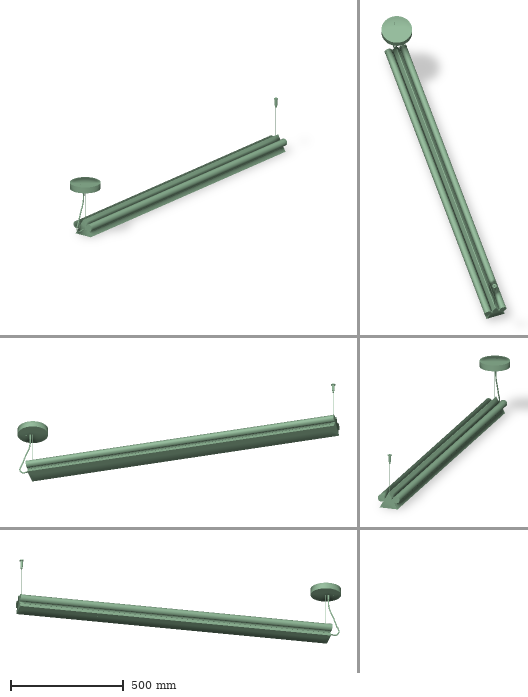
import cadquery as cq

OVERALL_LENGTH = 1465.0
OVERALL_HEIGHT = 246.0
BACK_END = OVERALL_LENGTH / 2
FRONT_END = -OVERALL_LENGTH / 2

CANOPY_DIAMETER = 136.0
CANOPY_HEIGHT = 28.0
CANOPY_Y = FRONT_END + CANOPY_DIAMETER / 2
CANOPY_BOTTOM = OVERALL_HEIGHT - CANOPY_HEIGHT
SLOT_LENGTH = 12.0
SLOT_WIDTH = 1.0
SLOT_OFFSET = 31.0

WIRE_INSET = 15.0
PROFILE_FRONT = CANOPY_Y - WIRE_INSET
PROFILE_LENGTH = BACK_END - PROFILE_FRONT
PROFILE_MIDDLE = (BACK_END + PROFILE_FRONT) / 2
BASE_HALF_WIDTH = 42.0
RIDGE_HALF_WIDTH = 1.0
PROFILE_HEIGHT = 72.0
SIDE_GROOVE_Z = 18.0
SIDE_GROOVE_SIZE = 1.0

STRIP_WIDTH = 16.0
STRIP_HEIGHT = 6.0

TUBE_DIAMETER = 31.0
TUBE_X = 35.0
TUBE_Z = 44.0
FITTING_DIAMETER = 32.0
FITTING_DEPTH = 6.0
FITTING_OVERHANG = 5.0
SEAT_X = 15.0
SEAT_Z = 31.0

WIRE_DIAMETER = 2.2
BACK_WIRE_Y = BACK_END - WIRE_INSET
ANCHOR_FLANGE_DIAMETER = 19.0
ANCHOR_FLANGE_HEIGHT = 3.0
ANCHOR_BODY_DIAMETER = 12.0
ANCHOR_BODY_BOTTOM = 214.0
ANCHOR_TIP_DIAMETER = 8.0
ANCHOR_BOTTOM = 204.0
ANCHOR_HOLE_DIAMETER = 7.0
ANCHOR_HOLE_DEPTH = 15.0

GRIP_DIAMETER = 9.0
GRIP_LENGTH = 22.0
GRIP_OFFSET = 12.0
GRIP_Y = CANOPY_Y - GRIP_OFFSET
GRIP_BOTTOM = CANOPY_BOTTOM - GRIP_LENGTH
CABLE_DIAMETER = 6.0
CABLE_Z = 26.0
CABLE_BENDS = [(-680.0, 155.0), (-700.0, 105.0), (-716.0, 65.0), (-724.0, 41.0), (-713.0, CABLE_Z)]


def vertical_cylinder(diameter, y, bottom, top):
    return (
        cq.Workplane("XY", origin=(0, y, bottom))
        .circle(diameter / 2)
        .extrude(top - bottom)
    )


def long_bar(width, height, x, z):
    """Rectangular bar as long as the profile, centred at (x, z)."""
    return cq.Workplane("XY").box(width, PROFILE_LENGTH, height).translate((x, PROFILE_MIDDLE, z))


def flank_x(z):
    """Half width of the tapered profile at height z."""
    return BASE_HALF_WIDTH - (BASE_HALF_WIDTH - RIDGE_HALF_WIDTH) * z / PROFILE_HEIGHT


def make_strip():
    return long_bar(STRIP_WIDTH, STRIP_HEIGHT, 0, STRIP_HEIGHT / 2)


def make_profile():
    """Tapered prism with side grooves, a step for each tube and a strip channel."""
    outline = [
        (-BASE_HALF_WIDTH, 0),
        (BASE_HALF_WIDTH, 0),
        (RIDGE_HALF_WIDTH, PROFILE_HEIGHT),
        (-RIDGE_HALF_WIDTH, PROFILE_HEIGHT),
    ]
    body = (
        cq.Workplane("XZ", origin=(0, BACK_END, 0))
        .polyline(outline)
        .close()
        .extrude(PROFILE_LENGTH)
    )
    step = PROFILE_HEIGHT - SEAT_Z
    for side in (-1, 1):
        body = body.cut(long_bar(step, step, side * (SEAT_X + step / 2), SEAT_Z + step / 2))
        groove_x = side * flank_x(SIDE_GROOVE_Z)
        body = body.cut(long_bar(2 * SIDE_GROOVE_SIZE, SIDE_GROOVE_SIZE, groove_x, SIDE_GROOVE_Z))
    return body.cut(make_strip())


def make_fitting(side, back, length):
    """Round disc whose inner lower quarter is squared off to sit in the profile step."""
    plane = cq.Workplane("XZ", origin=(side * TUBE_X, back, TUBE_Z))
    disc = plane.circle(FITTING_DIAMETER / 2).extrude(length)
    corner_x = -side * (TUBE_X - SEAT_X)
    corner_z = SEAT_Z - TUBE_Z
    corner = (
        plane.center(corner_x / 2, corner_z / 2)
        .rect(abs(corner_x), abs(corner_z))
        .extrude(length)
    )
    return disc.union(corner)


def make_tube(side):
    """Round tube with a fitting on each end; the front fitting overhangs the profile."""
    tube = (
        cq.Workplane("XZ", origin=(side * TUBE_X, BACK_END, TUBE_Z))
        .circle(TUBE_DIAMETER / 2)
        .extrude(PROFILE_LENGTH)
    )
    back_fitting = make_fitting(side, BACK_END, FITTING_DEPTH)
    front_fitting = make_fitting(side, PROFILE_FRONT + FITTING_DEPTH, FITTING_DEPTH + FITTING_OVERHANG)
    return tube.union(back_fitting).union(front_fitting)


def make_canopy():
    """Flat round canopy with a narrow slot through it."""
    slot = (
        cq.Workplane("XY", origin=(0, CANOPY_Y - SLOT_OFFSET, CANOPY_BOTTOM))
        .rect(SLOT_WIDTH, SLOT_LENGTH)
        .extrude(CANOPY_HEIGHT)
    )
    return vertical_cylinder(CANOPY_DIAMETER, CANOPY_Y, CANOPY_BOTTOM, OVERALL_HEIGHT).cut(slot)


def make_anchor():
    """Stepped ceiling anchor that carries the back wire, with a blind hole in its top."""
    flange_bottom = OVERALL_HEIGHT - ANCHOR_FLANGE_HEIGHT
    flange = vertical_cylinder(ANCHOR_FLANGE_DIAMETER, BACK_WIRE_Y, flange_bottom, OVERALL_HEIGHT)
    body = vertical_cylinder(ANCHOR_BODY_DIAMETER, BACK_WIRE_Y, ANCHOR_BODY_BOTTOM, flange_bottom)
    tip = vertical_cylinder(ANCHOR_TIP_DIAMETER, BACK_WIRE_Y, ANCHOR_BOTTOM, ANCHOR_BODY_BOTTOM)
    hole_bottom = OVERALL_HEIGHT - ANCHOR_HOLE_DEPTH
    hole = vertical_cylinder(ANCHOR_HOLE_DIAMETER, BACK_WIRE_Y, hole_bottom, OVERALL_HEIGHT)
    return flange.union(body).union(tip).cut(hole)


def make_cable():
    """Cable that hangs from the grip, bows outward and turns back into the profile end."""
    path = (
        cq.Workplane("YZ")
        .moveTo(GRIP_Y, GRIP_BOTTOM)
        .spline(
            [*CABLE_BENDS, (PROFILE_FRONT, CABLE_Z)],
            tangents=[(0, -1), (1, 0)],
            includeCurrent=True,
        )
    )
    return (
        cq.Workplane("XY", origin=(0, GRIP_Y, GRIP_BOTTOM))
        .circle(CABLE_DIAMETER / 2)
        .sweep(path)
    )


canopy = make_canopy()
grip = vertical_cylinder(GRIP_DIAMETER, GRIP_Y, GRIP_BOTTOM, CANOPY_BOTTOM)
cable = make_cable()
profile = make_profile()
strip = make_strip()
anchor = make_anchor()
tubes = [make_tube(side) for side in (-1, 1)]
wires = [
    vertical_cylinder(WIRE_DIAMETER, y, PROFILE_HEIGHT, top)
    for y, top in ((CANOPY_Y, CANOPY_BOTTOM), (BACK_WIRE_Y, ANCHOR_BOTTOM))
]

result = cq.Compound.makeCompound(
    [
        canopy.val(),
        grip.val(),
        cable.val(),
        profile.val(),
        strip.val(),
        anchor.val(),
        *[tube.val() for tube in tubes],
        *[wire.val() for wire in wires],
    ]
)